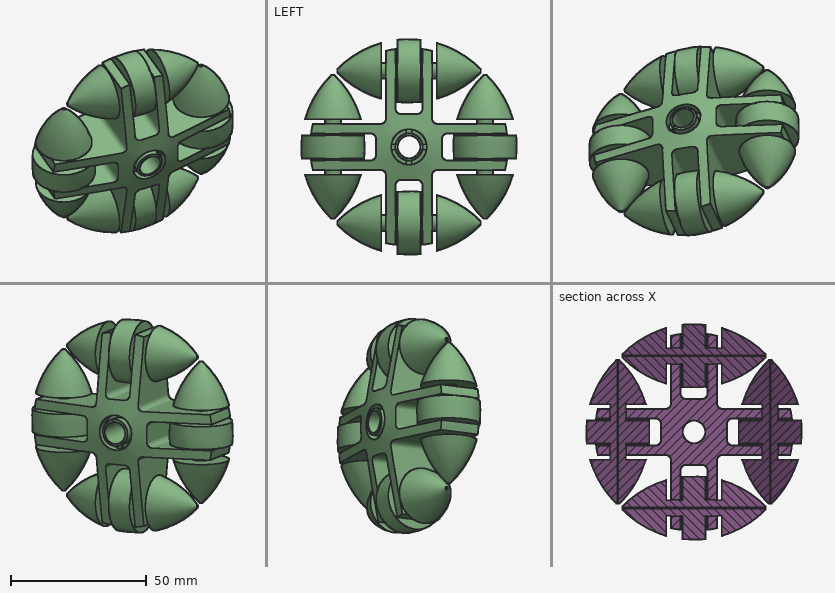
import cadquery as cq

wheel_diameter = 79.5
hub_width = 30.0

bore_diameter = 8.3
hub_diameter = 72.8
rim_width = 16.05
fork_width = 17.0
slot_width = 9.85
slot_floor_radius = 12.2
corner_fillet = 2.0

groove_inner_diameter = 10.0
groove_outer_diameter = 13.0
groove_floor_x = 10.1
rib_width = 2.15
rib_height = 0.8

roller_diameter = 23.5
barrel_arc_radius = 36.9
roller_length = 52.95
disc_width = 8.5
cap_gap = 20.35
axle_diameter = 6.0
pinhole_diameter = 0.2

arm_count = 4
arm_angle = 360.0 / arm_count
pitch_radius = (wheel_diameter - roller_diameter) / 2


def cylinder_along_x(diameter, x_start, x_end):
    """Solid cylinder on the X axis between two X positions."""
    return cq.Workplane("YZ", origin=(x_start, 0, 0)).circle(diameter / 2).extrude(x_end - x_start)


def box_along_x(y_size, z_size):
    """Box centred on the wheel and as wide as the hub."""
    return cq.Workplane("XY").box(hub_width, y_size, z_size)


def repeat_per_arm(shape):
    """One copy of the shape for each arm, turned about the X axis."""
    return [shape.rotate((0, 0, 0), (1, 0, 0), i * arm_angle) for i in range(arm_count)]


def make_double_cone():
    """Round hub blank, thickest at the bore and tapering towards the arm tips."""
    bore_radius = bore_diameter / 2
    hub_radius = hub_diameter / 2
    return (
        cq.Workplane("XZ")
        .moveTo(-hub_width / 2, bore_radius)
        .lineTo(-rim_width / 2, hub_radius)
        .lineTo(rim_width / 2, hub_radius)
        .lineTo(hub_width / 2, bore_radius)
        .close()
        .revolve(360, (0, 0, 0), (1, 0, 0))
    )


def make_slot():
    """Open slot with a rounded floor, for the roller on the +Z arm."""
    slot_depth = hub_diameter / 2 - slot_floor_radius
    return (
        box_along_x(slot_width, slot_depth)
        .edges("|X and <Z")
        .fillet(corner_fillet)
        .translate((0, 0, slot_floor_radius + slot_depth / 2))
    )


def make_groove():
    """Ring groove of the -X face; the ribs stay standing on its floor."""
    face_x = -hub_width / 2
    groove = cylinder_along_x(groove_outer_diameter, face_x, -groove_floor_x).cut(
        cylinder_along_x(groove_inner_diameter, face_x, -groove_floor_x)
    )
    rib_centre_x = -groove_floor_x - rib_height / 2
    for rib_size in ((rib_width, groove_outer_diameter), (groove_outer_diameter, rib_width)):
        rib_bar = cq.Workplane("XY").box(rib_height, *rib_size)
        groove = groove.cut(rib_bar.translate((rib_centre_x, 0, 0)))
    return groove


def make_hub():
    """Cross of four forked arms with a grooved bore and holes for the axles."""
    cross = box_along_x(fork_width, hub_diameter).union(box_along_x(hub_diameter, fork_width))
    inner_corner = fork_width / 2 + corner_fillet
    inner_corners = cq.selectors.BoxSelector(
        (-hub_width, -inner_corner, -inner_corner), (hub_width, inner_corner, inner_corner)
    )
    cross = cross.edges("|X").edges(inner_corners).fillet(corner_fillet)
    hub = make_double_cone().intersect(cross)

    axle_hole = (
        cq.Workplane("XZ")
        .center(0, pitch_radius)
        .circle(axle_diameter / 2)
        .extrude(fork_width / 2, both=True)
    )
    for cutter in repeat_per_arm(make_slot()) + repeat_per_arm(axle_hole):
        hub = hub.cut(cutter)

    groove = make_groove()
    return hub.cut(groove).cut(groove.mirror("YZ"))


def make_roller():
    """Barrel parted into a disc and two end caps on one axle, placed on the +Z arm."""
    half_length = roller_length / 2
    arc_centre = roller_diameter / 2 - barrel_arc_radius

    def barrel_radius(y):
        return arc_centre + (barrel_arc_radius**2 - y**2) ** 0.5

    barrel = (
        cq.Workplane("XY")
        .moveTo(0, -half_length)
        .lineTo(barrel_radius(half_length), -half_length)
        .threePointArc((barrel_radius(0), 0), (barrel_radius(half_length), half_length))
        .lineTo(0, half_length)
        .close()
        .revolve(360, (0, 0, 0), (0, 1, 0))
    )
    clearance_width = (cap_gap - disc_width) / 2
    clearance = (
        cq.Workplane("XZ", origin=(0, cap_gap / 2, 0))
        .circle(roller_diameter)
        .circle(axle_diameter / 2)
        .extrude(clearance_width)
    )
    pinhole = cq.Workplane("XZ").circle(pinhole_diameter / 2).extrude(half_length, both=True)
    roller = barrel.cut(clearance).cut(clearance.mirror("XZ")).cut(pinhole)
    return roller.translate((0, 0, pitch_radius))


hub = make_hub()
rollers = repeat_per_arm(make_roller())

result = cq.Compound.makeCompound([hub.val(), *[roller.val() for roller in rollers]])